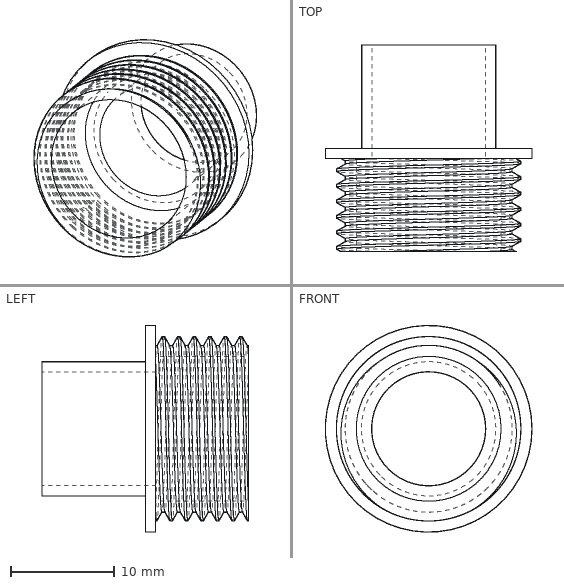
import cadquery as cq

overall_length = 20.0
flange_diameter = 20.0
flange_thickness = 1.0
thread_length = 9.0
tube_length = overall_length - thread_length - flange_thickness
threaded_end_y = -overall_length / 2

tube_diameter = 13.0
tube_bore_diameter = 11.0
thread_bore_diameter = 14.0
thread_bore_depth = thread_length

root_radius = 16.15 / 2
crest_radius = 17.85 / 2
pitch = 1.5
crest_width = 0.25
base_width = 1.2
root_overlap = 0.1
lead_in_turns = 2
crest_offset = 0.75 * pitch


def cylinder(diameter, start, length):
    """Solid cylinder on the Z axis beginning at height start."""
    return cq.Workplane("XY").workplane(offset=start).circle(diameter / 2).extrude(length)


def thread_ridge():
    """Helical trapezoidal ridge, trimmed flush with the threaded end."""
    start = crest_offset - lead_in_turns * pitch
    end = thread_length + pitch
    helix = cq.Wire.makeHelix(pitch, end - start, root_radius).moved(
        cq.Location(cq.Vector(0, 0, start))
    )
    flank_slope = (base_width - crest_width) / 2 / (crest_radius - root_radius)
    inner_half = base_width / 2 + root_overlap * flank_slope
    inner_radius = root_radius - root_overlap
    ridge = (
        cq.Workplane("XZ")
        .polyline([
            (inner_radius, start - inner_half),
            (crest_radius, start - crest_width / 2),
            (crest_radius, start + crest_width / 2),
            (inner_radius, start + inner_half),
        ])
        .close()
        .sweep(cq.Workplane(helix), isFrenet=True)
    )
    return ridge.intersect(cylinder(flange_diameter, 0, thread_length))


threaded_core = cylinder(2 * root_radius, 0, thread_length)
flange = cylinder(flange_diameter, thread_length, flange_thickness)
tube = cylinder(tube_diameter, thread_length + flange_thickness, tube_length)
body = threaded_core.union(thread_ridge()).union(flange).union(tube)
body = body.cut(cylinder(tube_bore_diameter, 0, overall_length))
body = body.cut(cylinder(thread_bore_diameter, 0, thread_bore_depth))

result = body.rotate((0, 0, 0), (1, 0, 0), -90).translate((0, threaded_end_y, 0))